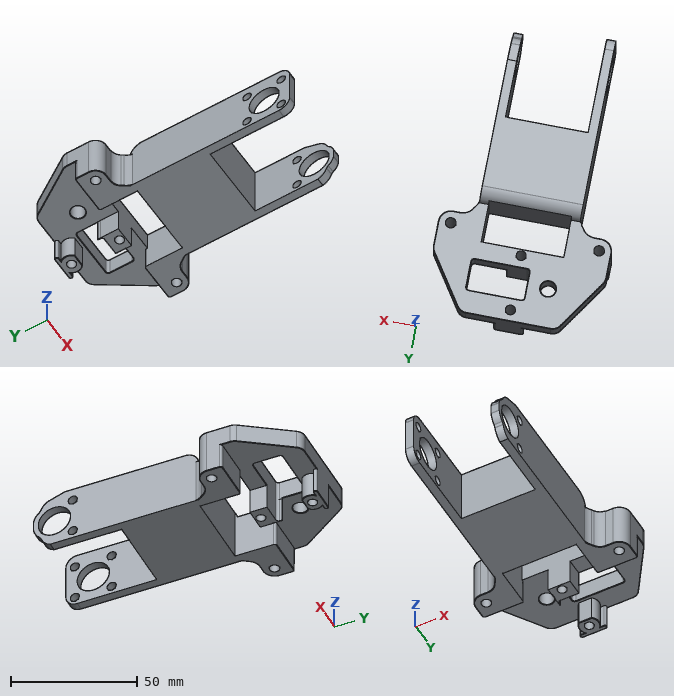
import cadquery as cq

overall_width = 69.7
overall_length = 119.5
overall_height = 25.2

head_half_width = overall_width / 2
head_rear_half_width = 19.5
head_shoulder_y = -23.1
head_front_y = -39.7
head_top = 20.2
head_underside = 11.5
head_corner_radius = 4.4
ear_corner_radius = 5.0
edge_break = 0.2

ear_hole_x = 29.9
ear_hole_y = -34.8
ear_hole_diameter = 4.2
small_hole_diameter = 4.0
rear_hole_y = -4.5
middle_hole_y = -27.0
cable_hole_x = -13.0
cable_hole_y = -15.8
cable_hole_diameter = 6.2
pocket_left = -4.5
pocket_right = 18.9
pocket_rear_y = -9.3
pocket_front_y = -22.1
pocket_corner_radius = 1.2

support_top = head_underside + 1.2
ear_rear_y = -28.1
ear_rear_radius = 1.1
lug_radius = 4.4
lug_front_y = -7.9
lip_depth = 1.8
lip_length = 12
pillar_half_width = 4.9
pillar_rear_y = -19.8

neck_half_width = 20.3
arm_thickness = 3.7
arm_inner_x = neck_half_width - arm_thickness
window_rear_y = -29.5
window_front_y = -45.9
neck_crest_y = -50.8
neck_crest_radius = 6
neck_front_y = -80.0
arm_corner_radius = 5.0

gusset_outer_x = 26.4
gusset_step_outer = (-22.5, -41.8)
gusset_step_inner = (-21.7, -42.9)
gusset_outer_radius = 5.0
gusset_inner_radius = 6.2

axis_y = 12 - overall_length
axis_z = 11.6
axis_hole_diameter = 14.0
screw_offset = 8.0

horn_centre_z = 11.8
horn_end_y = -116.6
horn_flat_half_height = 2.2
horn_notch_outer = (-114.1, 6.3)
horn_notch_inner = (-113.4, 7.4)
horn_slope_end = (-110.2, 22.8)
horn_slope_start_y = -103.0
horn_bottom_y = -109.3
horn_arc_radius = 6.6


def box(x_range, y_range, z_range):
    """Box between pairs of limits along X, Y and Z."""
    size = [abs(high - low) for low, high in (x_range, y_range, z_range)]
    corner = [min(limits) for limits in (x_range, y_range, z_range)]
    return cq.Workplane("XY").box(*size, centered=False).translate(tuple(corner))


def upright_cylinder(x, y, diameter):
    """Vertical cylinder over the full height of the part."""
    return cq.Workplane("XY").center(x, y).circle(diameter / 2).extrude(overall_height)


def head_prism(bottom, top):
    """Hexagonal head outline with rounded corners, between two heights."""
    prism = (
        cq.Workplane("XY", origin=(0, 0, bottom))
        .moveTo(-head_half_width, head_front_y)
        .lineTo(-head_half_width, head_shoulder_y)
        .lineTo(-head_rear_half_width, 0)
        .lineTo(head_rear_half_width, 0)
        .lineTo(head_half_width, head_shoulder_y)
        .lineTo(head_half_width, head_front_y)
        .close()
        .extrude(top - bottom)
    )
    ear_corners = prism.faces("<Y").edges("|Z")
    prism = ear_corners.fillet(ear_corner_radius)
    rear_corners = prism.edges("|Z").edges(cq.selectors.BoxSelector(
        (-overall_length, ear_rear_y, 0), (overall_length, overall_length, head_top)))
    return rear_corners.fillet(head_corner_radius)


def pocket():
    """Rounded rectangular opening through the head."""
    opening = box((pocket_left, pocket_right), (pocket_front_y, pocket_rear_y), (0, head_top))
    return opening.edges("|Z").fillet(pocket_corner_radius)


def head_plate():
    """Head plate with the pocket and cable hole, all edges finely broken."""
    plate = head_prism(head_underside, head_top)
    plate = plate.cut(pocket())
    plate = plate.cut(upright_cylinder(cable_hole_x, cable_hole_y, cable_hole_diameter))
    return plate.faces("<Z or >Z").edges().chamfer(edge_break)


def ears():
    """Two blocks under the front corners of the head plate."""
    front_zone = box((-head_half_width, head_half_width), (head_front_y, ear_rear_y), (0, head_top))
    block = head_prism(0, support_top).intersect(front_zone)
    block = block.faces(">Y").edges("|Z").fillet(ear_rear_radius)
    block = block.faces("<Z").edges().chamfer(edge_break)
    block = block.cut(box((-arm_inner_x, arm_inner_x), (head_front_y, 0), (0, head_top)))
    inner_edges = block.faces(">Y").edges("|Z").edges(cq.selectors.BoxSelector(
        (-neck_half_width, head_front_y, 0), (neck_half_width, 0, head_top)))
    return inner_edges.fillet(ear_rear_radius)


def rear_lug():
    """Round lug around the rear hole, with a thin round-ended lip along the rear edge."""
    lug = cq.Workplane("XY").center(0, rear_hole_y).circle(lug_radius).extrude(support_top)
    lug = lug.intersect(box((-lug_radius, lug_radius), (lug_front_y, 0), (0, head_top)))
    lip = (
        cq.Workplane("XY")
        .center(0, -lip_depth / 2)
        .slot2D(lip_length, lip_depth)
        .extrude(support_top)
    )
    lug = lug.faces("<Z").edges().chamfer(edge_break)
    lip = lip.faces("<Z").edges().chamfer(edge_break)
    return lug.union(lip)


def middle_pillar():
    """Post around the middle hole, flush with the window at its front and cut by the pocket."""
    post = box(
        (-pillar_half_width, pillar_half_width),
        (window_rear_y, pillar_rear_y),
        (0, support_top),
    )
    return post.cut(pocket())


def gusset():
    """Web across the neck that flares out into both ears, with its lower outer edges broken."""
    flare = (
        cq.Workplane("XY")
        .moveTo(0, ear_hole_y)
        .lineTo(-gusset_outer_x, ear_hole_y)
        .lineTo(-gusset_outer_x, head_front_y)
        .radiusArc(gusset_step_outer, gusset_outer_radius)
        .lineTo(*gusset_step_inner)
        .radiusArc((-neck_half_width, window_front_y), gusset_inner_radius)
        .lineTo(0, window_front_y)
        .close()
        .extrude(head_top)
    )
    outer_edges = flare.faces("<Z").edges(cq.selectors.BoxSelector(
        (-gusset_outer_x, window_front_y, -1.2), (-neck_half_width, head_front_y, 1.2)))
    flare = outer_edges.chamfer(edge_break)
    return flare.union(flare.mirror("YZ"))


def neck_start_y():
    """Y place where the rounded rear crest of the neck meets the head top."""
    drop = overall_height - head_top
    run = (neck_crest_radius**2 - (neck_crest_radius - drop) ** 2) ** 0.5
    return neck_crest_y + run


def neck():
    """Neck block with a rounded rear crest; its front forms the root of the fork."""
    start_y = neck_start_y()
    return (
        cq.Workplane("YZ", origin=(-neck_half_width, 0, 0))
        .moveTo(start_y, 0)
        .lineTo(start_y, head_top)
        .radiusArc((neck_crest_y, overall_height), -neck_crest_radius)
        .lineTo(neck_front_y, overall_height)
        .lineTo(neck_front_y, 0)
        .close()
        .extrude(2 * neck_half_width)
    )


def square_arm():
    """-X arm with two rounded corners at its free end."""
    arm = box((-neck_half_width, -arm_inner_x), (-overall_length, neck_front_y), (0, overall_height))
    return arm.faces("<Y").edges("|X").fillet(arm_corner_radius)


def horn_arm():
    """+X arm with a sloped, stepped and rounded free end."""
    outer_y, outer_offset = horn_notch_outer
    inner_y, inner_offset = horn_notch_inner
    return (
        cq.Workplane("YZ", origin=(arm_inner_x, 0, 0))
        .moveTo(neck_front_y, 0)
        .lineTo(neck_front_y, overall_height)
        .lineTo(horn_slope_start_y, overall_height)
        .lineTo(*horn_slope_end)
        .radiusArc((inner_y, horn_centre_z + inner_offset), -horn_arc_radius)
        .lineTo(outer_y, horn_centre_z + outer_offset)
        .radiusArc((horn_end_y, horn_centre_z + horn_flat_half_height), -horn_arc_radius)
        .lineTo(horn_end_y, horn_centre_z - horn_flat_half_height)
        .radiusArc((outer_y, horn_centre_z - outer_offset), -horn_arc_radius)
        .lineTo(inner_y, horn_centre_z - inner_offset)
        .radiusArc((horn_bottom_y, 0), -horn_arc_radius)
        .close()
        .extrude(arm_thickness)
    )


def cross_hole(x, y, z, diameter):
    """Hole through one arm, parallel to X, starting at the given x."""
    return cq.Workplane("YZ", origin=(x, y, z)).circle(diameter / 2).extrude(arm_thickness)


def servo_holes():
    """Large bores in both arms; four screw holes at -X and the rear two of them at +X."""
    front_y = axis_y - screw_offset
    rear_y = axis_y + screw_offset
    holes = []
    for x in (-neck_half_width, arm_inner_x):
        holes.append(cross_hole(x, axis_y, axis_z, axis_hole_diameter))
    for z in (axis_z - screw_offset, axis_z + screw_offset):
        holes.append(cross_hole(-neck_half_width, front_y, z, small_hole_diameter))
        holes.append(cross_hole(-neck_half_width, rear_y, z, small_hole_diameter))
        holes.append(cross_hole(arm_inner_x, rear_y, z, small_hole_diameter))
    return holes


def head_holes():
    """Vertical screw holes of the head and its supports."""
    return [
        upright_cylinder(0, rear_hole_y, small_hole_diameter),
        upright_cylinder(0, middle_hole_y, small_hole_diameter),
        upright_cylinder(-ear_hole_x, ear_hole_y, ear_hole_diameter),
        upright_cylinder(ear_hole_x, ear_hole_y, ear_hole_diameter),
    ]


window = box((-arm_inner_x, arm_inner_x), (window_front_y, window_rear_y), (0, overall_height))

result = head_plate()
for section in (ears(), gusset(), neck()):
    result = result.union(section)
result = result.cut(window)
for section in (rear_lug(), middle_pillar(), square_arm(), horn_arm()):
    result = result.union(section)
for hole in head_holes() + servo_holes():
    result = result.cut(hole)